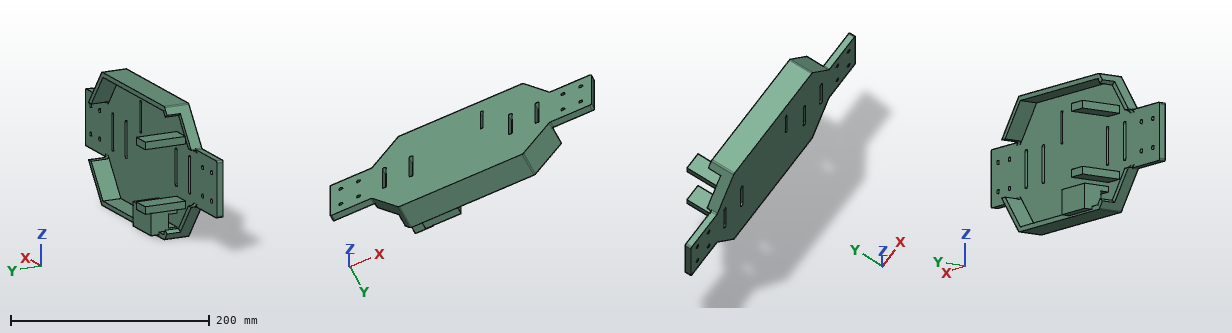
import cadquery as cq
import math


LENGTH = 294.0
HEIGHT = 140.0
WING_HALF_HEIGHT = 30.0
SHOULDER_X = 100.0
TOP_CORNER_X = 70.0
PLATE_THICKNESS = 7.0
CORNER_RADIUS = 2.0
SLOPE_RUN = SHOULDER_X - TOP_CORNER_X
SLOPE_RISE = HEIGHT / 2 - WING_HALF_HEIGHT
SLOPE_LENGTH = math.hypot(SLOPE_RUN, SLOPE_RISE)

WALL_THICKNESS = 5.0
WALL_TOP = 27.3
WALL_END_FILLET = 3.0
LOW_WALL_TOP = 12.3
LOW_WALL_END_Z = 62.3

HOLE_DIAMETER = 4.0
HOLE_XS = (115.0, 135.0)
HOLE_Z = 15.0
SLOT_XS = (56.0, 85.8)
SLOT_LENGTH = 40.0
SLOT_WIDTH = 4.0
OFFSET_SLOT_X = 23.5
OFFSET_SLOT_Z = 32.3
OFFSET_SLOT_LENGTH = 34.0
OFFSET_SLOT_WIDTH = 3.0

POST_LEFT = -77.0
POST_WIDTH = 19.7
POST_TOP = 52.5
POST_THICKNESS = 8.0

BRIDGE_LEFT = POST_LEFT + POST_WIDTH
BRIDGE_LENGTH = 40.0
BRIDGE_TOP = 36.2
BRIDGE_Z = -55.0
BRIDGE_HEIGHT = 26.0
CHANNEL_HEIGHT = 14.5
CHANNEL_ROOF = 16.2


def block(x_min, x_max, y_min, y_max, z_min, z_max):
    size = (x_max - x_min, y_max - y_min, z_max - z_min)
    return cq.Workplane("XY").box(*size, centered=False).translate((x_min, y_min, z_min))


def sketch_plane(y):
    """XZ plane at depth y; shapes drawn on it extrude toward +Y with a negative distance."""
    return cq.Workplane("XZ", origin=(0, y, 0))


def hexagon_points(inset):
    """Corners of the tray body, moved inward by inset; the side tips lie on Z = 0."""
    tip_x = SHOULDER_X + WING_HALF_HEIGHT * SLOPE_RUN / SLOPE_RISE - inset * SLOPE_LENGTH / SLOPE_RISE
    top_z = HEIGHT / 2 - inset
    top_x = tip_x - top_z * SLOPE_RUN / SLOPE_RISE
    return [(tip_x, 0), (top_x, top_z), (-top_x, top_z), (-tip_x, 0), (-top_x, -top_z), (top_x, -top_z)]


def make_plate():
    half = HEIGHT / 2
    outline = [
        (-LENGTH / 2, WING_HALF_HEIGHT), (-SHOULDER_X, WING_HALF_HEIGHT), (-TOP_CORNER_X, half),
        (TOP_CORNER_X, half), (SHOULDER_X, WING_HALF_HEIGHT), (LENGTH / 2, WING_HALF_HEIGHT),
    ]
    outline += [(x, -z) for x, z in reversed(outline)]
    plate = sketch_plane(0).polyline(outline).close().extrude(-PLATE_THICKNESS)
    return plate.edges("|Y").fillet(CORNER_RADIUS)


def make_walls():
    """Hexagonal rim, open at both wings, with fillets where its ends meet the plate."""
    rim = sketch_plane(0).polyline(hexagon_points(0)).close().extrude(-WALL_TOP)
    rim = rim.edges("|Y and (not <X) and (not >X)").fillet(CORNER_RADIUS)
    interior = sketch_plane(0).polyline(hexagon_points(WALL_THICKNESS)).close()
    rim = rim.cut(interior.extrude(-WALL_TOP))
    wing_opening = block(
        -LENGTH / 2, LENGTH / 2, PLATE_THICKNESS, 2 * WALL_TOP, -WING_HALF_HEIGHT, WING_HALF_HEIGHT
    )
    return rim.cut(wing_opening.edges("|X and <Y").fillet(WALL_END_FILLET))


def lower_left_slopes(body):
    """Cut both left slopes down, ending square to the wall."""
    start_x = -SHOULDER_X + (LOW_WALL_END_Z - WING_HALF_HEIGHT) * SLOPE_RUN / SLOPE_RISE
    cut_width = 4 * WALL_THICKNESS
    cutter = block(-cut_width / 2, cut_width / 2, LOW_WALL_TOP, 2 * WALL_TOP, -SLOPE_LENGTH, 0)
    lean = math.degrees(math.atan2(SLOPE_RUN, SLOPE_RISE))
    cutter = cutter.rotate((0, 0, 0), (0, 1, 0), lean).translate((start_x, 0, LOW_WALL_END_Z))
    return body.cut(cutter).cut(cutter.mirror("XY"))


def cut_openings(body):
    depth = -PLATE_THICKNESS
    holes = [(side * x, z) for side in (-1, 1) for x in HOLE_XS for z in (-HOLE_Z, HOLE_Z)]
    slots = [(side * x, 0) for side in (-1, 1) for x in SLOT_XS]
    body = body.cut(sketch_plane(0).pushPoints(holes).circle(HOLE_DIAMETER / 2).extrude(depth))
    body = body.cut(sketch_plane(0).pushPoints(slots).slot2D(SLOT_LENGTH, SLOT_WIDTH, 90).extrude(depth))
    offset_slot = sketch_plane(0).center(OFFSET_SLOT_X, OFFSET_SLOT_Z)
    return body.cut(offset_slot.slot2D(OFFSET_SLOT_LENGTH, OFFSET_SLOT_WIDTH, 90).extrude(depth))


def make_post():
    return block(
        POST_LEFT, POST_LEFT + POST_WIDTH, 0, POST_TOP,
        WING_HALF_HEIGHT, WING_HALF_HEIGHT + POST_THICKNESS,
    )


def make_bridge():
    """Block with a channel through it along X, open to the tray floor."""
    right = BRIDGE_LEFT + BRIDGE_LENGTH
    solid = block(
        BRIDGE_LEFT, right, PLATE_THICKNESS, BRIDGE_TOP,
        BRIDGE_Z - BRIDGE_HEIGHT / 2, BRIDGE_Z + BRIDGE_HEIGHT / 2,
    )
    channel = block(
        BRIDGE_LEFT, right, PLATE_THICKNESS, CHANNEL_ROOF,
        BRIDGE_Z - CHANNEL_HEIGHT / 2, BRIDGE_Z + CHANNEL_HEIGHT / 2,
    )
    return solid.cut(channel)


tray = cut_openings(make_plate().union(lower_left_slopes(make_walls())))
post = make_post()
result = tray.union(post).union(post.mirror("XY")).union(make_bridge())